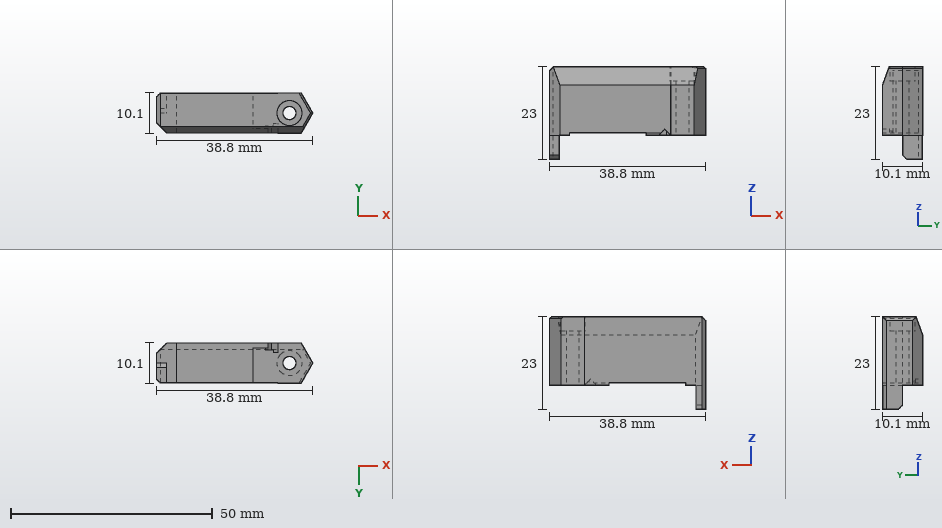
import cadquery as cq
import math

total_length = 38.8
hex_flats = 10.05
hex_radius = hex_flats / math.sqrt(3)
column_x = total_length - hex_radius
hex_chamfer = 0.5

body_height = 17.0
front_overhang = 0.03
back_overhang = 0.1
front_y = front_overhang - hex_flats / 2
back_y = hex_flats / 2 - back_overhang
front_corner_cut = 2.6
back_corner_cut = 0.95
end_top_cut = 1.0

slope_width = 1.68
slope_drop = 4.6

leg_length = 2.5
leg_width = 4.95
leg_drop = 6.0
leg_chamfer = 1.1

hole_diameter = 3.2
head_diameter = 6.2
head_depth = 3.5

slot_start = 5.0
slot_end = 24.0
slot_height = 0.6
ledge_depth = 1.2

notch_end = column_x - hex_radius / 2
notch_width = 3.0
notch_depth = 1.8
notch_step_x = 29.0
notch_deep_depth = 2.4

CLEAR = 1.0


def box(x0, x1, y0, y1, z0, z1):
    """Box between opposite corner coordinates."""
    return cq.Workplane("XY").box(x1 - x0, y1 - y0, z1 - z0, centered=False).translate((x0, y0, z0))


def bar_outline(z0, height):
    """Bar footprint with both left corners cut off."""
    return (
        cq.Workplane("XY", origin=(0, 0, z0))
        .moveTo(front_corner_cut, front_y)
        .lineTo(column_x, front_y)
        .lineTo(column_x, back_y)
        .lineTo(back_corner_cut, back_y)
        .lineTo(0, back_y - back_corner_cut)
        .lineTo(0, front_y + front_corner_cut)
        .close()
        .extrude(height)
    )


def chamfered_column():
    """Hexagonal column, corners along X, with the two end edges of its top chamfered."""
    column = cq.Workplane("XY", origin=(column_x, 0, 0)).polygon(6, 2 * hex_radius).extrude(body_height)
    end_edges = column.faces(">Z").edges(cq.selectors.BoxSelector(
        (column_x + hex_radius / 2, -hex_flats, body_height - CLEAR),
        (total_length, hex_flats, body_height + CLEAR),
    ))
    return end_edges.chamfer(hex_chamfer)


def leg():
    """Leg at the back of the left end, with its lower front edge chamfered."""
    front = back_y - leg_width
    profile = (
        cq.Workplane("YZ")
        .moveTo(back_y, 0)
        .lineTo(front, 0)
        .lineTo(front, leg_chamfer - leg_drop)
        .lineTo(front + leg_chamfer, -leg_drop)
        .lineTo(back_y, -leg_drop)
        .close()
        .extrude(leg_length)
    )
    return profile.intersect(bar_outline(-leg_drop, leg_drop))


def front_slope():
    """Wedge removed along the upper front edge."""
    front = -hex_flats / 2
    run = slope_width / slope_drop
    return (
        cq.Workplane("YZ")
        .moveTo(front - CLEAR * run, body_height - slope_drop - CLEAR)
        .lineTo(front + slope_width + CLEAR * run, body_height + CLEAR)
        .lineTo(front - CLEAR * run, body_height + CLEAR)
        .close()
        .extrude(total_length)
    )


def end_slope():
    """Wedge removed along the upper left edge."""
    return (
        cq.Workplane("XZ", origin=(0, hex_flats / 2, 0))
        .moveTo(0, body_height - end_top_cut)
        .lineTo(end_top_cut, body_height)
        .lineTo(0, body_height)
        .close()
        .extrude(hex_flats)
    )


def underside_clearance():
    """Full-width slot, continued as a shallow front ledge up to the notch."""
    back = back_y + CLEAR
    front = front_y - CLEAR
    slot = box(slot_start, slot_end, front, back, -CLEAR, slot_height)
    notch_middle = notch_end - notch_width / 2
    ledge = box(slot_end, notch_middle, front, front_y + ledge_depth, -CLEAR, slot_height)
    return slot.union(ledge)


def notch_prism(depth):
    """Triangular prism reaching the given depth behind the front face."""
    return (
        cq.Workplane("XZ", origin=(0, front_y + depth, 0))
        .moveTo(notch_end - notch_width, 0)
        .lineTo(notch_end, 0)
        .lineTo(notch_end - notch_width / 2, notch_width / 2)
        .close()
        .extrude(depth)
    )


def front_notch():
    """Blind V notch in the front wall, with a deeper right part."""
    deep_part = box(notch_step_x, notch_end, front_y, front_y + notch_deep_depth, 0, notch_width)
    return notch_prism(notch_depth).union(notch_prism(notch_deep_depth).intersect(deep_part))


def screw_hole():
    """Through hole with a recess for the screw head."""
    axis = cq.Workplane("XY", origin=(column_x, 0, 0))
    shank = axis.circle(hole_diameter / 2).extrude(body_height)
    head = axis.workplane(offset=body_height - head_depth).circle(head_diameter / 2).extrude(head_depth)
    return shank.union(head)


part = bar_outline(0, body_height).union(chamfered_column()).union(leg())
for tool in (front_slope(), end_slope(), underside_clearance(), front_notch(), screw_hole()):
    part = part.cut(tool)

result = part.clean()